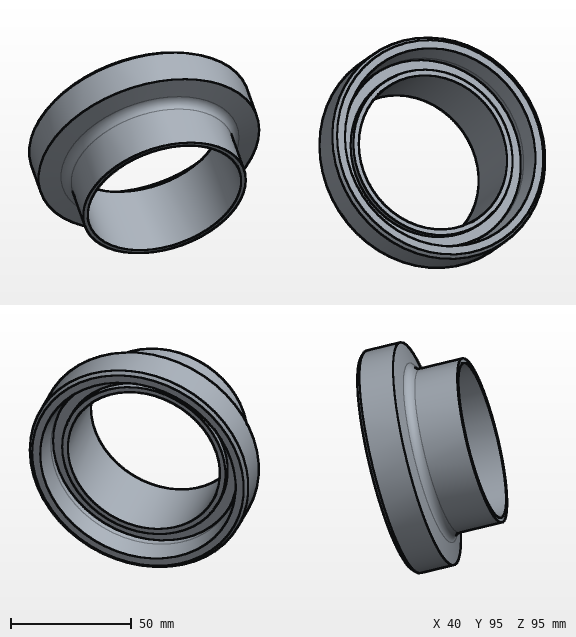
import cadquery as cq
import math

length = 40.0
rim_radius = 95 / 2
neck_radius = 70.0 / 2
bore_radius = 66.0 / 2

rim_chamfer = 1.5
rim_width = 16.1
back_angle = math.radians(10)
neck_fillet = 4.0

mouth_radius = 42.5
mouth_depth = 8.1
groove_radius = 80.8 / 2
groove_depth = 11.2
lip_radius = 71.0 / 2
lip_depth = 8.1

fillet_center_radius = neck_radius + neck_fillet
fillet_start_radius = fillet_center_radius - neck_fillet * math.sin(back_angle)
fillet_start_x = rim_width + (rim_radius - fillet_start_radius) * math.tan(back_angle)
fillet_center_x = fillet_start_x + neck_fillet * math.cos(back_angle)

fillet_mid_angle = (back_angle + math.pi / 2) / 2
fillet_mid_x = fillet_center_x - neck_fillet * math.cos(fillet_mid_angle)
fillet_mid_radius = fillet_center_radius - neck_fillet * math.sin(fillet_mid_angle)

half_section = (
    cq.Workplane("XY")
    .moveTo(0, mouth_radius)
    .lineTo(0, rim_radius - rim_chamfer)
    .lineTo(rim_chamfer, rim_radius)
    .lineTo(rim_width, rim_radius)
    .lineTo(fillet_start_x, fillet_start_radius)
    .threePointArc((fillet_mid_x, fillet_mid_radius), (fillet_center_x, neck_radius))
    .lineTo(length, neck_radius)
    .lineTo(length, bore_radius)
    .lineTo(lip_depth, bore_radius)
    .lineTo(lip_depth, lip_radius)
    .lineTo(groove_depth, lip_radius)
    .lineTo(groove_depth, groove_radius)
    .lineTo(mouth_depth, groove_radius)
    .close()
)

result = half_section.revolve(360, (0, 0, 0), (1, 0, 0))